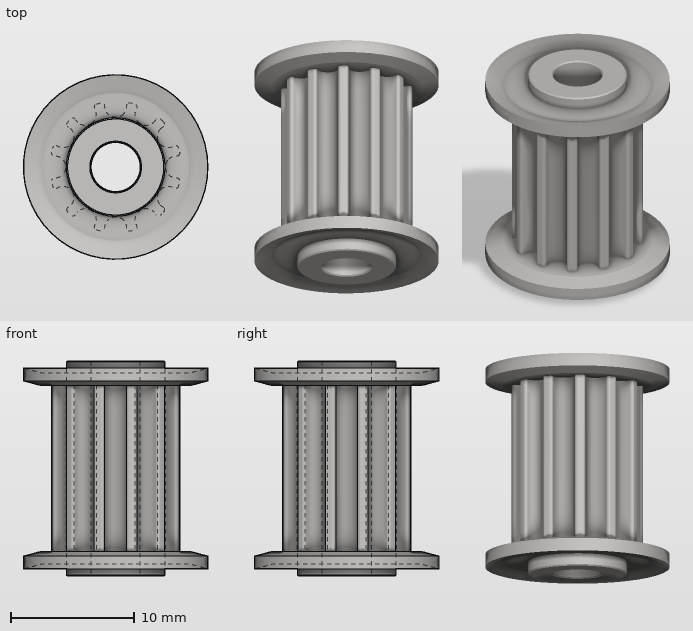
import cadquery as cq
import math


LENGTH = 17.5
HUB_RADIUS = 4.0
BORE_RADIUS = 2.0
EDGE_CHAMFER = 0.1

TOOTH_COUNT = 12
TIP_RADIUS = 5.34
GROOVE_RADIUS = 0.9
GROOVE_DEPTH = 1.3
TIP_FILLET = 0.25

FLANGE_RADIUS = 15.0 / 2
FLANGE_FLAT_RADIUS = 6.0
FLANGE_THICKNESS = 1.0
DISH_ANGLE = math.radians(15)
HUB_END_HEIGHT = 1.0

TOOTH_PITCH_ANGLE = 360 / TOOTH_COUNT
FLANGE_OUTER_Z = LENGTH / 2 - HUB_END_HEIGHT
FLANGE_INNER_Z = FLANGE_OUTER_Z - FLANGE_THICKNESS
TOOTH_LENGTH = 2 * FLANGE_INNER_Z
GROOVE_CENTRE_RADIUS = TIP_RADIUS - GROOVE_DEPTH + GROOVE_RADIUS


def make_groove(angle):
    """Round-bottomed cutter for one tooth space, centred at the given angle."""
    reach = TIP_RADIUS + GROOVE_RADIUS
    return (
        cq.Workplane("XY")
        .workplane(offset=-FLANGE_INNER_Z)
        .moveTo(reach, -GROOVE_RADIUS)
        .lineTo(GROOVE_CENTRE_RADIUS, -GROOVE_RADIUS)
        .threePointArc(
            (GROOVE_CENTRE_RADIUS - GROOVE_RADIUS, 0),
            (GROOVE_CENTRE_RADIUS, GROOVE_RADIUS),
        )
        .lineTo(reach, GROOVE_RADIUS)
        .close()
        .extrude(TOOTH_LENGTH)
        .rotate((0, 0, 0), (0, 0, 1), angle)
    )


def make_toothed_rim():
    """Toothed middle length, with the tooth tip corners rounded."""
    rim = cq.Workplane("XY").circle(TIP_RADIUS).extrude(TOOTH_LENGTH / 2, both=True)
    for index in range(TOOTH_COUNT):
        rim = rim.cut(make_groove(index * TOOTH_PITCH_ANGLE))

    corner_limit = (GROOVE_CENTRE_RADIUS + TIP_RADIUS) / 2
    corners = [
        edge
        for edge in rim.edges("|Z").vals()
        if math.hypot(edge.Center().x, edge.Center().y) > corner_limit
    ]
    return rim.newObject(corners).fillet(TIP_FILLET)


def make_pulley():
    """Hub and teeth in one piece, bored through, with the end edges chamfered."""
    hub = cq.Workplane("XY").circle(HUB_RADIUS).extrude(LENGTH / 2, both=True)
    bore = cq.Workplane("XY").circle(BORE_RADIUS).extrude(LENGTH / 2, both=True)
    return hub.union(make_toothed_rim()).cut(bore).faces("<Z or >Z").edges().chamfer(EDGE_CHAMFER)


def make_flange():
    """Upper flange: a ring with a flat inner zone and a rim bent upward."""
    slope = math.tan(DISH_ANGLE)
    inner_bend_radius = FLANGE_FLAT_RADIUS + FLANGE_THICKNESS * math.tan(DISH_ANGLE / 2)
    rim_inner_z = FLANGE_INNER_Z + (FLANGE_RADIUS - inner_bend_radius) * slope
    rim_outer_z = FLANGE_OUTER_Z + (FLANGE_RADIUS - FLANGE_FLAT_RADIUS) * slope
    return (
        cq.Workplane("XZ")
        .moveTo(HUB_RADIUS, FLANGE_INNER_Z)
        .lineTo(inner_bend_radius, FLANGE_INNER_Z)
        .lineTo(FLANGE_RADIUS, rim_inner_z)
        .lineTo(FLANGE_RADIUS, rim_outer_z)
        .lineTo(FLANGE_FLAT_RADIUS, FLANGE_OUTER_Z)
        .lineTo(HUB_RADIUS, FLANGE_OUTER_Z)
        .close()
        .revolve(360, (0, 0), (0, 1))
    )


pulley = make_pulley()
upper_flange = make_flange()
flanges = [upper_flange, upper_flange.mirror("XY")]

result = cq.Compound.makeCompound([pulley.val(), *[flange.val() for flange in flanges]])